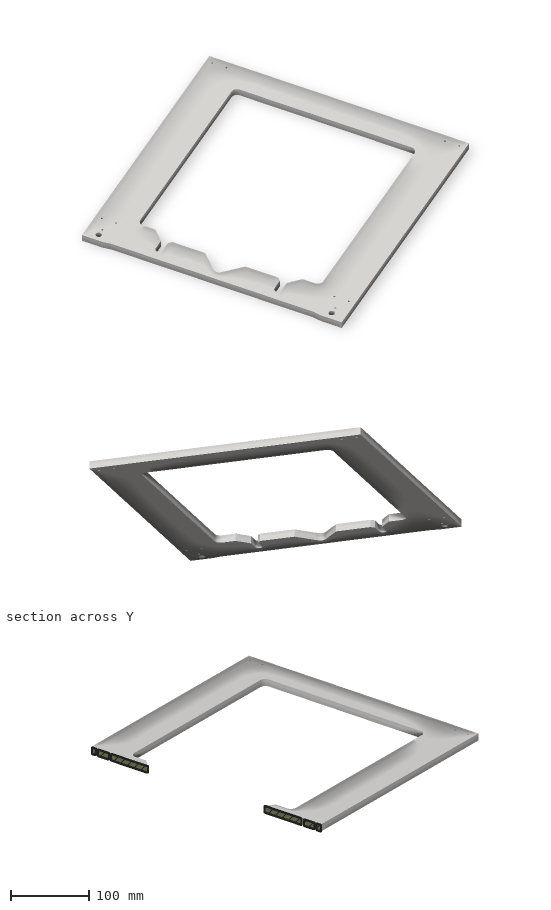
import cadquery as cq

width = 369.0
depth = 370.0
thickness = 10.0
front_y = -depth / 2
back_y = depth / 2

window_half_width = 130.0
window_top_y = back_y - 39.2
outer_ledge_y = front_y + 50.5
inner_ledge_y = front_y + 39.2
outer_ledge_end_x = 104.5
corner_radius = 7.8

notch_half_width = 28.5
notch_radius = 7.8

slot_x = 84.5
slot_width = 9.5
slot_bottom_y = front_y + 14.8
mouth_chamfer = 4.5

relief_depth = 2.0
relief_outer_x = 155.0
relief_inner_x = 144.3

pin_diameter = 2.5
pin_columns = (155.0, 175.5)
pin_rows = (front_y + 39.2, back_y - 10.0)
corner_hole_x = 165.5
corner_hole_y = front_y + 10.0
corner_hole_diameter = 8.0
corner_pin_y = front_y + 20.5


slot_inner_x = slot_x - slot_width / 2
slot_outer_x = slot_x + slot_width / 2
slot_end_y = slot_bottom_y + slot_width / 2
slope_end_x = outer_ledge_end_x - (outer_ledge_y - inner_ledge_y)
mouth_side_y = inner_ledge_y - mouth_chamfer


def mirrored(points):
    """Return the points followed by their mirror images about X = 0."""
    return points + [(-x, y) for x, y in reversed(points)]


def prism(points):
    return cq.Workplane("XY").polyline(points).close().extrude(thickness)


def make_window_opening():
    """Main rectangle of the window with four rounded corners."""
    height = window_top_y - outer_ledge_y
    return (
        cq.Workplane("XY")
        .center(0, (window_top_y + outer_ledge_y) / 2)
        .rect(2 * window_half_width, height)
        .extrude(thickness)
        .edges("|Z")
        .fillet(corner_radius)
    )


def make_lower_step():
    """Trapezoid that lowers the window edge between the two outer ledges."""
    return prism(mirrored([(outer_ledge_end_x, outer_ledge_y), (slope_end_x, inner_ledge_y)]))


def make_notch():
    """V notch with 45 degree sides and a rounded tip."""
    tip = (0, inner_ledge_y - notch_half_width)
    notch = prism(mirrored([(notch_half_width, inner_ledge_y)]) + [tip])
    return notch.edges("|Z and <Y").fillet(notch_radius)


def make_slot():
    """Right-hand slot with a round bottom and a chamfered mouth."""
    return (
        cq.Workplane("XY")
        .moveTo(slot_inner_x - mouth_chamfer, inner_ledge_y)
        .lineTo(slot_inner_x, mouth_side_y)
        .lineTo(slot_inner_x, slot_end_y)
        .threePointArc((slot_x, slot_bottom_y), (slot_outer_x, slot_end_y))
        .lineTo(slot_outer_x, mouth_side_y)
        .lineTo(slot_outer_x + mouth_chamfer, inner_ledge_y)
        .close()
        .extrude(thickness)
    )


def make_front_relief():
    relief_y = front_y + relief_depth
    return prism(mirrored([(relief_outer_x, front_y), (relief_inner_x, relief_y)]))


def make_holes(points, diameter):
    return cq.Workplane("XY").pushPoints(points).circle(diameter / 2).extrude(thickness)


pin_points = [(x, y) for x in pin_columns for y in pin_rows]
pin_points.append((corner_hole_x, corner_pin_y))
slot = make_slot()

result = cq.Workplane("XY").rect(width, depth).extrude(thickness)
for cutter in (
    make_window_opening(),
    make_lower_step(),
    make_notch(),
    slot,
    slot.mirror("YZ"),
    make_front_relief(),
    make_holes(mirrored(pin_points), pin_diameter),
    make_holes(mirrored([(corner_hole_x, corner_hole_y)]), corner_hole_diameter),
):
    result = result.cut(cutter)